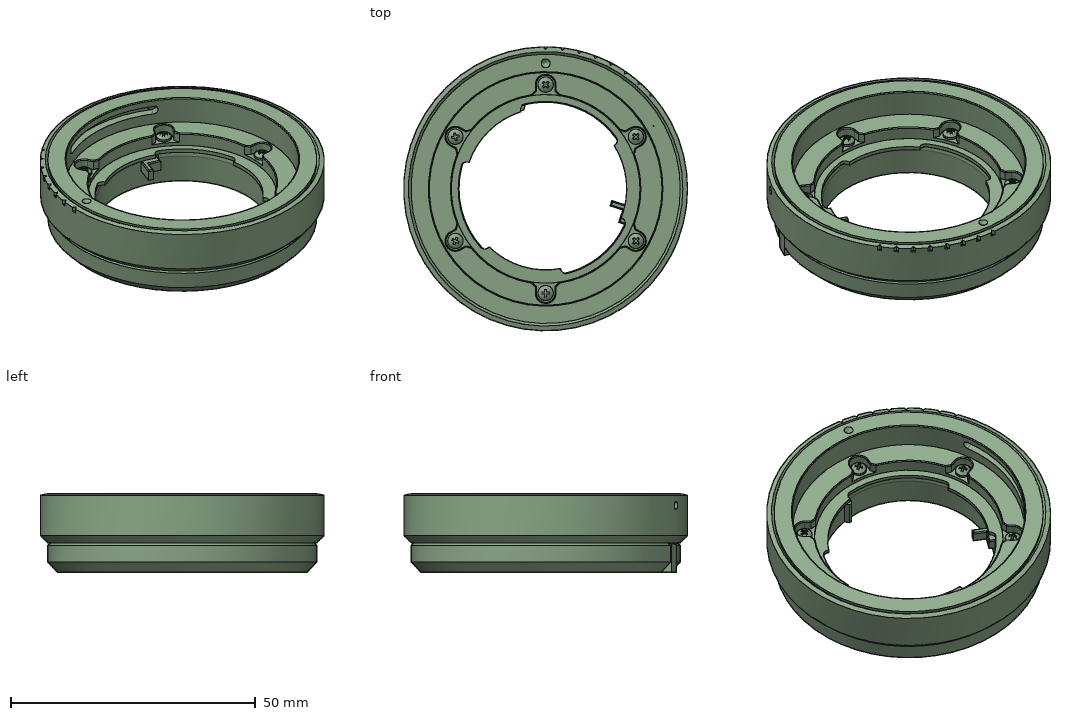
import cadquery as cq
import math

TOTAL_HEIGHT = 16.1
BASE_TOP = 6.7
LEDGE_TOP = 7.55
SCREW_SEAT = 8.3
FLANGE_TOP = 10.4
SLOT_HEIGHT = 13.7

TOLERANCE = 0.005
OVERRUN = 0.6

SLEEVE_RADIUS = 29.0
BODY_RADIUS = 27.5
GAP_RADIUS = 17.85
LUG_RADIUS = 16.55
LUG_FILLET = 1.2

BAYONET_GAPS = [(32.3, 107.7), (161.0, 225.7), (280.7, 339.0)]

SLEEVE_BOTTOM = 6.05
SLEEVE_LOWER_EDGE = 7.5
SLEEVE_UPPER_EDGE = 15.7
RIM_RADIUS = 28.0
RIM_HEIGHT = 16.0
RIM_GROOVE_BOTTOM = 15.5
PIN_HOLE_DIAMETER = 1.6
PIN_HOLE_ANGLE = -23.4
MARK_COUNT = 8
MARK_FIRST_ANGLE = 90.0
MARK_STEP = -6.9
MARK_WIDTH = 0.9
MARK_DEPTH = 0.5
MARK_LENGTH = 0.85

WELL_RADIUS = 47.5 / 2
FLANGE_BORE_RADIUS = 38.5 / 2
EDGE_CHAMFER = 0.205
DIMPLE_DIAMETER = 1.8
DIMPLE_DEPTH = 0.85
DIMPLE_PLACE = 25.65
SLOT_WIDTH = 1.8
SLOT_DEPTH = 1.75
SLOT_START_ANGLE = -26.0
SLOT_END_ANGLE = 31.0

SCREW_COUNT = 6
SCREW_FIRST_ANGLE = 30.0
SCREW_ANGLES = [SCREW_FIRST_ANGLE + index * 360 / SCREW_COUNT for index in range(SCREW_COUNT)]
SCREW_CIRCLE_RADIUS = 21.3
POCKET_RADIUS = 1.9
POCKET_FLARE_START = 19.95
HEAD_DIAMETER = 3.15
HEAD_RIM_HEIGHT = 0.45
HEAD_DOME_HEIGHT = 0.7
SHANK_DIAMETER = 1.3
SHANK_BOTTOM = 3.95
CROSS_LENGTH = 1.5
CROSS_WIDTH = 0.4
CROSS_DEPTH = 0.5
CROSS_TURNS = [45.0, 45.0, 15.0, 65.0, 0.0, 45.0]

BASE_BOTTOM_RADIUS = 25.5
BASE_BORE_RADIUS = 17.7
BORE_CHAMFER_HEIGHT = 0.75
BASE_LOWER_EDGE = 2.1
BASE_TOP_CHAMFER = 1.2
STOP_ANGLE = 106.5
STOP_TIP_RADIUS = 16.7
STOP_TIP_WIDTH = 0.6
STOP_ROOT_WIDTH = 2.55
STOP_TOP = 5.5

LEVER_ANGLE = -18.0
LEVER_WIDTH = 3.8
LEVER_TOP = 6.0
LEVER_BOTTOM = 3.7
LEVER_INNER = 16.3
LEVER_OUTER = 27.45
LEG_INNER = 24.95
LEG_WIDTH = 3.0
PRONG_TIP = 13.6
PRONG_WIDTH = 1.15
LEVER_CHAMFER = 0.25


def revolved(outline, start=0.0, end=360.0):
    """Revolve a closed (radius, height) outline about Z between two angles."""
    solid = cq.Workplane("XZ").polyline(outline).close().revolve(end - start, (0, 0, 0), (0, 1, 0))
    return solid.rotate((0, 0, 0), (0, 0, 1), start)


def turned(solid, angle):
    """Turn a solid about the Z axis."""
    return solid.rotate((0, 0, 0), (0, 0, 1), angle)


def block(x_range, y_range, z_range):
    """Box given by its lower and upper limits along each axis."""
    limits = (x_range, y_range, z_range)
    sizes = [high - low for low, high in limits]
    corner = tuple(low for low, high in limits)
    return cq.Workplane("XY").box(*sizes, centered=False).translate(corner)


def bayonet_gap(start, end):
    """Void between two lugs, with rounded corners where the lugs rise from the bore."""
    inner = LUG_RADIUS - OVERRUN
    outline = [(inner, BASE_TOP), (GAP_RADIUS, BASE_TOP), (GAP_RADIUS, LEDGE_TOP), (inner, LEDGE_TOP)]
    void = revolved(outline, start, end)
    corners = void.edges("|Z").filter(
        lambda edge: math.hypot(edge.Center().x, edge.Center().y) > LUG_RADIUS
    )
    return corners.fillet(LUG_FILLET)


def is_inner_flange_edge(edge):
    """True for an edge that lies in the flange top and is not the wall of the well."""
    points = [edge.positionAt(part) for part in (0, 0.5, 1)]
    in_flange_top = all(abs(point.z - FLANGE_TOP) < TOLERANCE for point in points)
    nearest = min(math.hypot(point.x, point.y) for point in points)
    return in_flange_top and nearest < WELL_RADIUS - TOLERANCE


def shank_hole():
    """Hole for a screw on the +X axis; the screw shank fills it."""
    return (
        cq.Workplane("XY", origin=(SCREW_CIRCLE_RADIUS, 0, SHANK_BOTTOM))
        .circle(SHANK_DIAMETER / 2)
        .extrude(SCREW_SEAT - SHANK_BOTTOM)
    )


def make_sleeve():
    sleeve = revolved([
        (BODY_RADIUS, SLEEVE_BOTTOM),
        (SLEEVE_RADIUS, SLEEVE_LOWER_EDGE),
        (SLEEVE_RADIUS, SLEEVE_UPPER_EDGE),
        (RIM_RADIUS, RIM_HEIGHT),
        (BODY_RADIUS, RIM_GROOVE_BOTTOM),
    ])
    pin_hole = (
        cq.Workplane("YZ", origin=(BODY_RADIUS - OVERRUN, 0, SLOT_HEIGHT))
        .circle(PIN_HOLE_DIAMETER / 2)
        .extrude(SLEEVE_RADIUS - BODY_RADIUS + 2 * OVERRUN)
    )
    sleeve = sleeve.cut(turned(pin_hole, PIN_HOLE_ANGLE))

    mark = (
        cq.Workplane("XY", origin=(0, 0, SLEEVE_UPPER_EDGE - MARK_LENGTH))
        .polyline([
            (SLEEVE_RADIUS - MARK_DEPTH, 0),
            (SLEEVE_RADIUS + MARK_DEPTH, -MARK_WIDTH),
            (SLEEVE_RADIUS + MARK_DEPTH, MARK_WIDTH),
        ])
        .close()
        .extrude(2 * MARK_LENGTH)
    )
    for index in range(MARK_COUNT):
        sleeve = sleeve.cut(turned(mark, MARK_FIRST_ANGLE + index * MARK_STEP))
    return sleeve


def screw_pocket():
    """Pocket for a screw on the +X axis, flaring at 45 degrees into the flange bore."""
    mouth = FLANGE_BORE_RADIUS - OVERRUN
    half = POCKET_RADIUS
    flared = half + POCKET_FLARE_START - mouth
    return (
        cq.Workplane("XY", origin=(0, 0, SCREW_SEAT))
        .moveTo(mouth, -flared)
        .lineTo(POCKET_FLARE_START, -half)
        .lineTo(SCREW_CIRCLE_RADIUS, -half)
        .threePointArc((SCREW_CIRCLE_RADIUS + half, 0), (SCREW_CIRCLE_RADIUS, half))
        .lineTo(POCKET_FLARE_START, half)
        .lineTo(mouth, flared)
        .close()
        .extrude(FLANGE_TOP - SCREW_SEAT)
    )


def curved_slot():
    """Blind slot with round ends in the wall of the well."""
    slot_bottom = SLOT_HEIGHT - SLOT_WIDTH / 2
    slot_top = SLOT_HEIGHT + SLOT_WIDTH / 2
    start_radius = WELL_RADIUS - SLOT_DEPTH
    end_radius = WELL_RADIUS + SLOT_DEPTH
    slot = revolved(
        [
            (start_radius, slot_bottom),
            (end_radius, slot_bottom),
            (end_radius, slot_top),
            (start_radius, slot_top),
        ],
        SLOT_START_ANGLE,
        SLOT_END_ANGLE,
    )
    round_end = (
        cq.Workplane("YZ", origin=(start_radius, 0, SLOT_HEIGHT))
        .circle(SLOT_WIDTH / 2)
        .extrude(2 * SLOT_DEPTH)
    )
    for angle in (SLOT_START_ANGLE, SLOT_END_ANGLE):
        slot = slot.union(turned(round_end, angle))
    return slot


def make_mount_ring():
    ring = revolved([
        (LUG_RADIUS, BASE_TOP),
        (BODY_RADIUS, BASE_TOP),
        (BODY_RADIUS, TOTAL_HEIGHT),
        (WELL_RADIUS + EDGE_CHAMFER, TOTAL_HEIGHT),
        (WELL_RADIUS, TOTAL_HEIGHT - EDGE_CHAMFER),
        (WELL_RADIUS, FLANGE_TOP),
        (FLANGE_BORE_RADIUS, FLANGE_TOP),
        (FLANGE_BORE_RADIUS, LEDGE_TOP),
        (LUG_RADIUS, LEDGE_TOP),
    ])
    for start, end in BAYONET_GAPS:
        ring = ring.cut(bayonet_gap(start, end))

    pocket = screw_pocket()
    for angle in SCREW_ANGLES:
        ring = ring.cut(turned(pocket, angle))
    flange_edges = ring.edges().filter(is_inner_flange_edge)
    ring = flange_edges.chamfer(EDGE_CHAMFER)

    for angle in SCREW_ANGLES:
        ring = ring.cut(turned(shank_hole(), angle))
    ring = ring.cut(curved_slot())

    dimple = cq.Workplane("XY").add(cq.Solid.makeCone(
        0, DIMPLE_DIAMETER / 2, DIMPLE_DEPTH, pnt=(0, DIMPLE_PLACE, TOTAL_HEIGHT - DIMPLE_DEPTH)
    ))
    return ring.cut(dimple)


def make_screw(angle, cross_turn):
    head_radius = HEAD_DIAMETER / 2
    rim_top = SCREW_SEAT + HEAD_RIM_HEIGHT
    head_top = rim_top + HEAD_DOME_HEIGHT
    dome_radius = (head_radius**2 + HEAD_DOME_HEIGHT**2) / (2 * HEAD_DOME_HEIGHT)
    half_arc = math.asin(head_radius / dome_radius) / 2
    dome_center = head_top - dome_radius
    dome_middle = (
        dome_radius * math.sin(half_arc),
        dome_center + dome_radius * math.cos(half_arc),
    )
    screw = (
        cq.Workplane("XZ")
        .moveTo(0, SHANK_BOTTOM)
        .lineTo(SHANK_DIAMETER / 2, SHANK_BOTTOM)
        .lineTo(SHANK_DIAMETER / 2, SCREW_SEAT)
        .lineTo(head_radius, SCREW_SEAT)
        .lineTo(head_radius, rim_top)
        .threePointArc(dome_middle, (0, head_top))
        .close()
        .revolve(360, (0, 0, 0), (0, 1, 0))
    )
    cross_plane = cq.Workplane("XY", origin=(0, 0, head_top - CROSS_DEPTH))
    for arm_turn in (0, 90):
        arm = cross_plane.rect(CROSS_LENGTH, CROSS_WIDTH).extrude(CROSS_DEPTH)
        screw = screw.cut(turned(arm, arm_turn + cross_turn))
    place = math.radians(angle)
    return screw.translate(
        (SCREW_CIRCLE_RADIUS * math.cos(place), SCREW_CIRCLE_RADIUS * math.sin(place), 0)
    )


def make_lever():
    half = LEVER_WIDTH / 2
    bar = block((LEVER_INNER, LEG_INNER), (-half, half), (LEVER_BOTTOM, LEVER_TOP))
    leg = block((LEG_INNER, LEVER_OUTER), (half - LEG_WIDTH, half), (0, LEVER_TOP))
    prong = block((PRONG_TIP, LEVER_INNER), (half - PRONG_WIDTH, half), (LEVER_BOTTOM, LEVER_TOP))
    lever = bar.union(leg).union(prong)
    lever = lever.faces(">Z").edges().chamfer(LEVER_CHAMFER)
    return turned(lever, LEVER_ANGLE)


def make_base():
    base = revolved([
        (BASE_BORE_RADIUS, 0),
        (BASE_BOTTOM_RADIUS, 0),
        (BODY_RADIUS, BASE_LOWER_EDGE),
        (BODY_RADIUS, BASE_TOP - BASE_TOP_CHAMFER),
        (BODY_RADIUS - BASE_TOP_CHAMFER, BASE_TOP),
        (GAP_RADIUS, BASE_TOP),
        (BASE_BORE_RADIUS, BASE_TOP - BORE_CHAMFER_HEIGHT),
    ])
    stop_root = BASE_BORE_RADIUS + OVERRUN
    stop = (
        cq.Workplane("XY")
        .polyline([
            (STOP_TIP_RADIUS, -STOP_TIP_WIDTH / 2),
            (stop_root, -STOP_ROOT_WIDTH / 2),
            (stop_root, STOP_ROOT_WIDTH / 2),
            (STOP_TIP_RADIUS, STOP_TIP_WIDTH / 2),
        ])
        .close()
        .extrude(STOP_TOP)
    )
    base = base.union(turned(stop, STOP_ANGLE))

    lever_half = LEVER_WIDTH / 2
    across = (-lever_half, lever_half)
    channel = block((LUG_RADIUS - OVERRUN, SLEEVE_RADIUS), across, (LEVER_BOTTOM, BASE_TOP))
    leg_slot = block((LEG_INNER, SLEEVE_RADIUS), across, (0, BASE_TOP))
    base = base.cut(turned(channel, LEVER_ANGLE)).cut(turned(leg_slot, LEVER_ANGLE))
    for angle in SCREW_ANGLES:
        base = base.cut(turned(shank_hole(), angle))
    return base


sleeve = make_sleeve()
mount_ring = make_mount_ring()
base = make_base()
lever = make_lever()
screws = [make_screw(angle, turn) for angle, turn in zip(SCREW_ANGLES, CROSS_TURNS)]

result = cq.Compound.makeCompound([
    sleeve.val(),
    mount_ring.val(),
    base.val(),
    lever.val(),
    *[screw.val() for screw in screws],
])